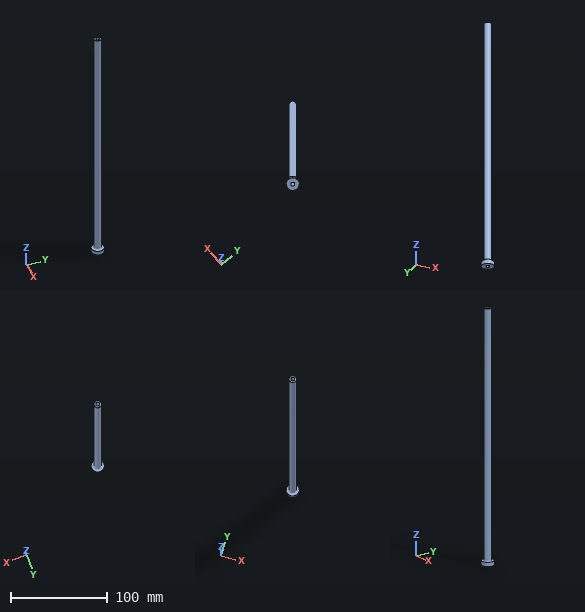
import cadquery as cq

total_length = 280.0
head_diameter = 14.0
head_height = 5.0
shaft_diameter = 8.0
bore_diameter = 4.0
neck_fillet_radius = 0.5


def make_sleeve_profile():
    """Half section in the XZ plane, from the bore wall out to the head rim."""
    bore_radius = bore_diameter / 2
    shaft_radius = shaft_diameter / 2
    head_radius = head_diameter / 2
    fillet_foot = (shaft_radius + neck_fillet_radius, head_height)
    fillet_top = (shaft_radius, head_height + neck_fillet_radius)
    return (
        cq.Workplane("XZ")
        .moveTo(bore_radius, 0)
        .lineTo(head_radius, 0)
        .lineTo(head_radius, head_height)
        .lineTo(*fillet_foot)
        .radiusArc(fillet_top, neck_fillet_radius)
        .lineTo(shaft_radius, total_length)
        .lineTo(bore_radius, total_length)
        .close()
    )


result = make_sleeve_profile().revolve(360, (0, 0, 0), (0, 1, 0))